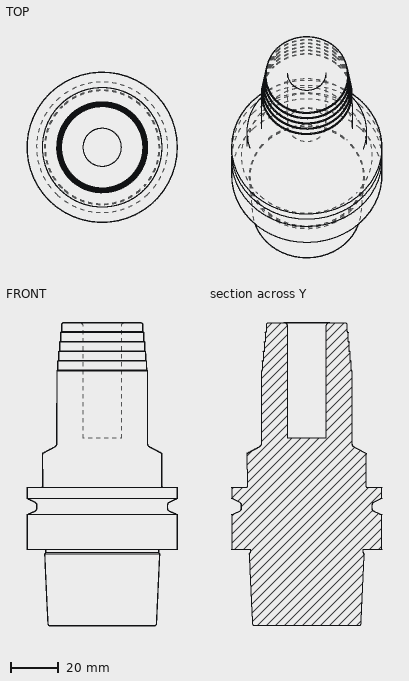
import cadquery as cq

total_height = 126.9

shank_end_radius = 22.7
shank_top_radius = 24.1
shank_top_height = 30.1
shank_end_rounding = 1.0
neck_radius = 23.7
neck_bottom = 30.7

flange_radius = 31.5
flange_bottom = 32.0
flange_top = 58.0
groove_radius = 27.4
groove_lower_rim = 46.6
groove_upper_rim = 53.3
groove_floor_bottom = 48.3
groove_floor_top = 51.4
groove_rounding = 1.1

boss_radius = 25.0
boss_top = 72.2
boss_rounding = 0.4
boss_root_rounding = 0.4
nose_radius = 19.0
nose_bottom = 75.4
nose_root_rounding = 1.3

tip_bottom = 106.7
band_count = 5
band_height = (total_height - tip_bottom) / band_count
tip_radius = 17.0
ledge_width = 0.4
ledge_height = 0.3
band_inset = (nose_radius - tip_radius) / band_count
tip_rounding = 0.9

bore_radius = 8.0
bore_depth = 48.2
bore_mouth_rounding = 1.5


def outer_profile():
    """Half section of the body, from the shank end up to the nose tip."""
    points = [
        (0, 0),
        (shank_end_radius, 0),
        (shank_top_radius, shank_top_height),
        (neck_radius, neck_bottom),
        (neck_radius, flange_bottom),
        (flange_radius, flange_bottom),
        (flange_radius, groove_lower_rim),
        (groove_radius, groove_floor_bottom),
        (groove_radius, groove_floor_top),
        (flange_radius, groove_upper_rim),
        (flange_radius, flange_top),
        (boss_radius, flange_top),
        (boss_radius, boss_top),
        (nose_radius, nose_bottom),
        (nose_radius, tip_bottom),
    ]
    for band in range(band_count):
        band_bottom = tip_bottom + band * band_height
        band_radius = nose_radius - band * band_inset
        points.append((band_radius - ledge_width, band_bottom + ledge_height))
        points.append((band_radius - band_inset, band_bottom + band_height))
    points.append((0, total_height))
    return cq.Workplane("XZ").polyline(points).close()


def round_ring(body, radius, height, rounding):
    """Fillet the full circular edge with the given radius and height."""
    rings = [
        edge
        for edge in body.edges("%CIRCLE").vals()
        if abs(edge.radius() - radius) < 0.01 and abs(edge.Center().z - height) < 0.01
    ]
    return body.newObject(rings).fillet(rounding)


result = outer_profile().revolve(360, (0, 0, 0), (0, 1, 0))

bore = cq.Workplane("XY", origin=(0, 0, total_height)).circle(bore_radius).extrude(-bore_depth)
result = result.cut(bore)

for ring_radius, ring_height, ring_rounding in [
    (shank_end_radius, 0, shank_end_rounding),
    (groove_radius, groove_floor_bottom, groove_rounding),
    (groove_radius, groove_floor_top, groove_rounding),
    (boss_radius, flange_top, boss_root_rounding),
    (boss_radius, boss_top, boss_rounding),
    (nose_radius, nose_bottom, nose_root_rounding),
    (tip_radius, total_height, tip_rounding),
    (bore_radius, total_height, bore_mouth_rounding),
]:
    result = round_ring(result, ring_radius, ring_height, ring_rounding)